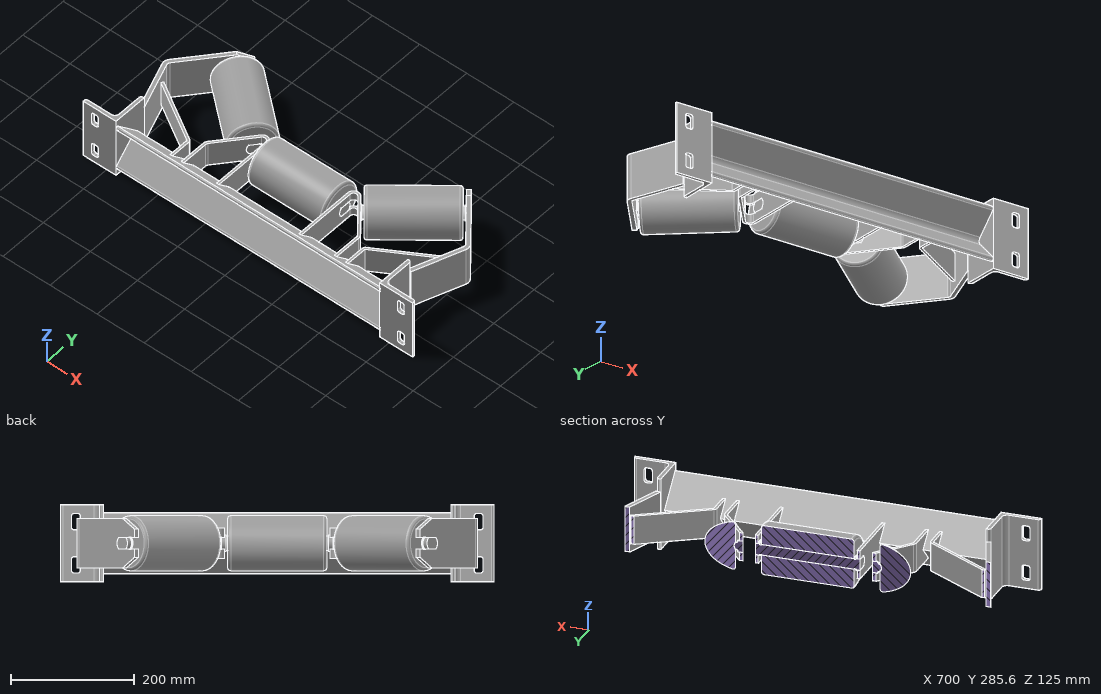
import cadquery as cq
import math


ANGLE_LEG = 70.0
ANGLE_THICKNESS = 7.0
ANGLE_ROOT_RADIUS = 9.0
ANGLE_TOE_RADIUS = 4.5

TOTAL_LENGTH = 700.0
BEAM_LENGTH = TOTAL_LENGTH - 2 * ANGLE_LEG
FOOT_WIDTH = 125.0
SLOT_WIDTH = 14.0
SLOT_LENGTH = 26.0
SLOT_CORNER_RADIUS = 4.0
SLOT_PITCH = 70.0
SLOT_FROM_END = 25.0

ROLLER_DIAMETER = 89.0
ROLLER_LENGTH = 160.0
ROLLER_EDGE_RADIUS = 5.0
ROLLER_GAP = 5.0
SHAFT_DIAMETER = 23.0
COLLAR_DIAMETER = 26.0
COLLAR_LENGTH = 2.0
SHAFT_FLATS = 19.0
MIDDLE_ROLLER_Y = 135.5
TROUGH_ANGLE = 40.0

STRIP_WIDTH = 50.0
STRIP_THICKNESS = 5.0
FORK_BEND_RADIUS = 9.5
FORK_OUTER_LEG_X = -162.5
BRACE_LEG_X = -186.5
BRACE_BEND_Y = 71.0
BRACE_ANGLE = 31.5
BRACE_BEND_RADIUS = 4.0

ARM_WIDTH = 80.0
ARM_THICKNESS = 8.0
ARM_BEND_RADIUS = 11.0
ARM_BEND_CENTRE = (-308.5, 169.0)
ARM_LOWER_ANGLE = 70.0
ARM_TOP_Y = 285.59
ARM_TIP_LENGTH = 30.0
ARM_TIP_TAPER = 30.0
SHAFT_FROM_ARM_TIP = 31.0


def direction(angle):
    """Unit vector in the XY plane at an angle in degrees from +X."""
    return cq.Vector(math.cos(math.radians(angle)), math.sin(math.radians(angle)))


def crossing(point_a, direction_a, point_b, direction_b):
    """Point where two lines in the XY plane meet."""
    gap = point_b - point_a
    along_a = gap.cross(direction_b).z / direction_a.cross(direction_b).z
    return point_a + direction_a * along_a


ARM_UPPER_DIRECTION = direction(90 - TROUGH_ANGLE)
ARM_LOWER_DIRECTION = direction(-ARM_LOWER_ANGLE)
ARM_UPPER_NORMAL = direction(180 - TROUGH_ANGLE)
ARM_LOWER_NORMAL = direction(270 - ARM_LOWER_ANGLE)
ROLLER_DIRECTION = direction(-TROUGH_ANGLE)
MIDDLE_DIRECTION = cq.Vector(1, 0)
UP = cq.Vector(0, 1)
HALF_ARM = ARM_THICKNESS / 2
HALF_STRIP = STRIP_THICKNESS / 2

arm_bend = cq.Vector(*ARM_BEND_CENTRE)
arm_upper_tangent = arm_bend + ARM_UPPER_NORMAL * ARM_BEND_RADIUS
arm_lower_tangent = arm_bend + ARM_LOWER_NORMAL * ARM_BEND_RADIUS
arm_corner = crossing(arm_upper_tangent, ARM_UPPER_DIRECTION, arm_lower_tangent, ARM_LOWER_DIRECTION)
arm_top_rise = ARM_TOP_Y - HALF_ARM * ARM_UPPER_NORMAL.y - arm_corner.y
arm_tip = arm_corner + ARM_UPPER_DIRECTION * (arm_top_rise / ARM_UPPER_DIRECTION.y)

toe_centre = cq.Vector(
    -BEAM_LENGTH / 2 - ANGLE_THICKNESS + ANGLE_TOE_RADIUS, ANGLE_LEG - ANGLE_TOE_RADIUS
)
arm_lower_length = (toe_centre - arm_corner).dot(ARM_LOWER_DIRECTION) - ANGLE_TOE_RADIUS
arm_foot = arm_corner + ARM_LOWER_DIRECTION * arm_lower_length

arm_seat = arm_tip - ARM_UPPER_DIRECTION * SHAFT_FROM_ARM_TIP
outer_roller_centre = arm_seat + ROLLER_DIRECTION * (HALF_ARM + ROLLER_GAP + ROLLER_LENGTH / 2)
middle_roller_centre = cq.Vector(0, MIDDLE_ROLLER_Y)

fork_inner_leg_x = -(ROLLER_LENGTH / 2 + ROLLER_GAP + HALF_STRIP)
fork_slope_seat = outer_roller_centre + ROLLER_DIRECTION * (ROLLER_LENGTH / 2 + ROLLER_GAP + HALF_STRIP)
fork_inner_seat = cq.Vector(fork_inner_leg_x, MIDDLE_ROLLER_Y)
fork_apex = crossing(fork_slope_seat, ARM_UPPER_DIRECTION, fork_inner_seat, UP)
fork_knee = crossing(fork_slope_seat, ARM_UPPER_DIRECTION, cq.Vector(FORK_OUTER_LEG_X, 0), UP)

brace_knee = cq.Vector(BRACE_LEG_X, BRACE_BEND_Y)
BRACE_DIRECTION = direction(180 - BRACE_ANGLE)
brace_lower_knee = brace_knee + direction(270 - BRACE_ANGLE) * HALF_STRIP
arm_inner_point = arm_corner - ARM_LOWER_NORMAL * HALF_ARM
brace_touch = crossing(brace_lower_knee, BRACE_DIRECTION, arm_inner_point, ARM_LOWER_DIRECTION)
brace_end = brace_touch + brace_knee - brace_lower_knee

BEAM_TOE_DEPTH = ANGLE_THICKNESS - ANGLE_TOE_RADIUS
BEAM_CORNER_Y = (ANGLE_LEG - ANGLE_TOE_RADIUS + BEAM_TOE_DEPTH) / math.sqrt(2) + ANGLE_TOE_RADIUS


def angle_bar(length):
    """Angle section with its outer corner at the origin and legs on +X and +Y, centred on Z."""
    bar = (
        cq.Workplane("XY", origin=(0, 0, -length / 2))
        .polyline([
            (0, 0),
            (ANGLE_LEG, 0),
            (ANGLE_LEG, ANGLE_THICKNESS),
            (ANGLE_THICKNESS, ANGLE_THICKNESS),
            (ANGLE_THICKNESS, ANGLE_LEG),
            (0, ANGLE_LEG),
        ])
        .close()
        .extrude(length)
    )
    inner_corner = (ANGLE_THICKNESS, ANGLE_THICKNESS, 0)
    bar = bar.edges(cq.selectors.NearestToPointSelector(inner_corner)).fillet(ANGLE_ROOT_RADIUS)
    for toe in ((ANGLE_LEG, ANGLE_THICKNESS, 0), (ANGLE_THICKNESS, ANGLE_LEG, 0)):
        bar = bar.edges(cq.selectors.NearestToPointSelector(toe)).fillet(ANGLE_TOE_RADIUS)
    return bar


def bent_strip(points, thickness, width, bend_radius):
    """Flat strip bent along a centre line in the XY plane, its width centred on Z = 0."""
    corners = cq.Wire.makePolygon(points)
    path = corners.fillet(bend_radius, corners.Vertices()[1:-1])
    start = cq.Plane(origin=points[0], xDir=(0, 0, 1), normal=points[1] - points[0])
    return cq.Workplane(start).rect(width, thickness).sweep(cq.Workplane(path))


def mirrored(body):
    """Right-hand copy of a left-hand body."""
    return body.mirror("YZ")


def axle_plane(centre, axis):
    """Work plane across a roller axis, with Z of the part as its local X."""
    return cq.Plane(origin=centre, xDir=(0, 0, 1), normal=axis)


def shaft_end(seat, axis, length):
    """Flattened end of a shaft, starting at the seat point."""
    plane = axle_plane(seat, axis)
    end = cq.Workplane(plane).circle(COLLAR_DIAMETER / 2).extrude(length)
    flats = cq.Workplane(plane).rect(SHAFT_FLATS, COLLAR_DIAMETER).extrude(length)
    return end.intersect(flats)


def shaft_slot(seat, axis, towards, thickness, reach):
    """Cutter for an open slot that seats a shaft end in a strip centred on the seat point."""
    near_face = seat - axis * (thickness / 2)
    opening_plane = axle_plane(near_face + towards * (reach / 2), axis)
    opening = cq.Workplane(opening_plane).rect(SHAFT_FLATS, reach).extrude(thickness)
    return shaft_end(near_face, axis, thickness).union(opening)


def beam():
    bar = angle_bar(BEAM_LENGTH)
    bar = bar.rotate((0, 0, 0), (0, 0, 1), -135)
    bar = bar.rotate((0, 0, 0), (0, 1, 0), 90)
    return bar.translate((0, BEAM_CORNER_Y, 0))


def left_foot():
    bar = angle_bar(FOOT_WIDTH).mirror("YZ").translate((-BEAM_LENGTH / 2, 0, 0))
    slots = (
        cq.Workplane("XZ", origin=(SLOT_FROM_END - TOTAL_LENGTH / 2, 0, 0))
        .pushPoints([(0, -SLOT_PITCH / 2), (0, SLOT_PITCH / 2)])
        .rect(SLOT_WIDTH, SLOT_LENGTH)
        .extrude(-ANGLE_THICKNESS)
        .edges("|Y")
        .fillet(SLOT_CORNER_RADIUS)
    )
    return bar.cut(slots)


def left_fork():
    points = [
        cq.Vector(FORK_OUTER_LEG_X, 0),
        fork_knee,
        fork_apex,
        cq.Vector(fork_inner_leg_x, 0),
    ]
    fork = bent_strip(points, STRIP_THICKNESS, STRIP_WIDTH, FORK_BEND_RADIUS)
    slope_reach = (fork_apex - fork_slope_seat).Length
    inner_reach = fork_apex.y - MIDDLE_ROLLER_Y
    fork = fork.cut(
        shaft_slot(fork_slope_seat, ROLLER_DIRECTION, ARM_UPPER_DIRECTION, STRIP_THICKNESS, slope_reach)
    )
    fork = fork.cut(
        shaft_slot(fork_inner_seat, MIDDLE_DIRECTION, UP, STRIP_THICKNESS, inner_reach)
    )
    arch_x = (fork_slope_seat.x + fork_inner_leg_x) / 2
    arch_length = fork_inner_leg_x - fork_slope_seat.x
    arch_opening = cq.Workplane("XY").box(arch_length, 2 * inner_reach, SHAFT_FLATS)
    return fork.cut(arch_opening.translate((arch_x, fork_apex.y, 0)))


def left_brace():
    points = [cq.Vector(BRACE_LEG_X, 0), brace_knee, brace_end]
    return bent_strip(points, STRIP_THICKNESS, STRIP_WIDTH, BRACE_BEND_RADIUS)


def beam_notch():
    """Solid space in front of the beam's outer faces, cleared out of the strips."""
    return (
        cq.Workplane("YZ")
        .polyline([
            (BEAM_CORNER_Y, 0),
            (BEAM_CORNER_Y - STRIP_WIDTH, STRIP_WIDTH),
            (-STRIP_WIDTH, STRIP_WIDTH),
            (-STRIP_WIDTH, -STRIP_WIDTH),
            (BEAM_CORNER_Y - STRIP_WIDTH, -STRIP_WIDTH),
        ])
        .close()
        .extrude(BEAM_LENGTH / 2, both=True)
    )


def welded_frame():
    """Beam, feet, forks and braces as one weldment."""
    frame = beam()
    foot = left_foot()
    strips = [left_fork().cut(beam_notch()), left_brace().cut(beam_notch())]
    for piece in [foot, *strips]:
        frame = frame.union(piece).union(mirrored(piece))
    return frame


def left_arm():
    arm = bent_strip([arm_foot, arm_corner, arm_tip], ARM_THICKNESS, ARM_WIDTH, ARM_BEND_RADIUS)
    taper = ARM_TIP_LENGTH * math.tan(math.radians(ARM_TIP_TAPER))
    tip_corners = (
        cq.Workplane(axle_plane(arm_tip, ROLLER_DIRECTION))
        .polyline([
            (ARM_WIDTH / 2, 0),
            (ARM_WIDTH / 2 - taper, 0),
            (ARM_WIDTH / 2, ARM_TIP_LENGTH),
        ])
        .close()
        .extrude(HALF_ARM, both=True)
    )
    arm = arm.cut(tip_corners).cut(tip_corners.mirror("XY"))
    return arm.cut(
        shaft_slot(arm_seat, ROLLER_DIRECTION, ARM_UPPER_DIRECTION, ARM_THICKNESS, SHAFT_FROM_ARM_TIP)
    )


def cylinder(start, axis, diameter, length):
    """Round bar from a start point along an axis."""
    return cq.Workplane(axle_plane(start, axis)).circle(diameter / 2).extrude(length)


def roller(centre, axis):
    """Roller with rounded rims, bored for its shaft."""
    start = centre - axis * (ROLLER_LENGTH / 2)
    shell = cylinder(start, axis, ROLLER_DIAMETER, ROLLER_LENGTH).edges().fillet(ROLLER_EDGE_RADIUS)
    return shell.cut(cylinder(start, axis, SHAFT_DIAMETER, ROLLER_LENGTH))


def shaft(centre, axis, start_thickness, end_thickness):
    """Shaft with a collar and a flattened end at each of the two strips that carry it."""
    half_span = ROLLER_LENGTH / 2 + ROLLER_GAP
    body = cylinder(centre - axis * half_span, axis, SHAFT_DIAMETER, 2 * half_span)
    for outward, thickness in ((axis * -1, start_thickness), (axis, end_thickness)):
        strip_face = centre + outward * half_span
        collar_start = strip_face - outward * COLLAR_LENGTH
        body = body.union(cylinder(collar_start, outward, COLLAR_DIAMETER, COLLAR_LENGTH))
        body = body.union(shaft_end(strip_face, outward, thickness))
    return body


frame = welded_frame()
arm = left_arm()
outer_roller = roller(outer_roller_centre, ROLLER_DIRECTION)
outer_shaft = shaft(outer_roller_centre, ROLLER_DIRECTION, ARM_THICKNESS, STRIP_THICKNESS)
middle_roller = roller(middle_roller_centre, MIDDLE_DIRECTION)
middle_shaft = shaft(middle_roller_centre, MIDDLE_DIRECTION, STRIP_THICKNESS, STRIP_THICKNESS)

solids = [body.solids().val() for body in (frame, middle_roller, middle_shaft)]
for left_body in (arm, outer_roller, outer_shaft):
    solids += [left_body.solids().val(), mirrored(left_body).solids().val()]

result = cq.Compound.makeCompound(solids)